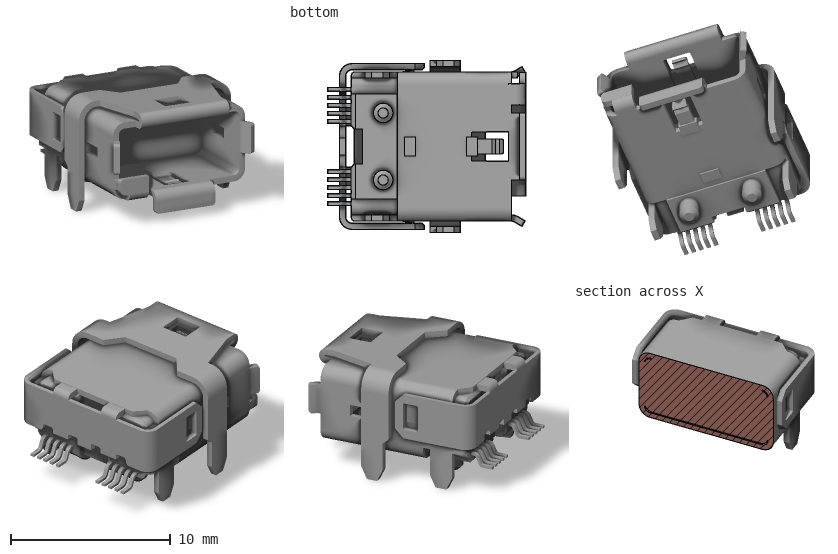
import cadquery as cq
import math


SHEET = 0.4
BEND_INNER = 0.1
BEND_OUTER = BEND_INNER + SHEET
PART_LENGTH = 12.4
BEND_X = PART_LENGTH - BEND_OUTER

SHELL_HALF_W = 4.68
SHELL_BOTTOM = 0.1
SHELL_TOP = 5.1
SHELL_R = 0.8
SHELL_REAR = 1.65
SHELL_FRONT = 11.51
SHELL_MID_Z = (SHELL_BOTTOM + SHELL_TOP) / 2
INNER_HALF_W = SHELL_HALF_W - SHEET
CORNER_CUT_X = 2.33
CORNER_CUT_Y = (3.1, 3.78)
UPPER_BEND_Z = SHELL_TOP - SHELL_R
LOWER_CUT_X = 4.36
LOWER_CUT_Z = 1.04
WING_REAR = 1.47
WING_R = 0.25

SIDE_WINDOW_X = (7.9, 9.44)
SIDE_WINDOW_Z = (2.22, 2.99)
LATCH_X = (4.68, 5.41)
LATCH_Z = (2.66, 3.94)
LATCH_RISE = 0.14

SPRING_HALF_W = 0.475
SPRING_ROOT_X = 9.0
SPRING_T = 0.28
SPRING_TIP_R = 0.15
SPRING_BEND_X = 10.29
SPRING_DIP_X = 10.52
SPRING_DIP = 0.12
SPRING_CREST_X = 10.74
SPRING_CREST_RISE = 0.1
SPRING_TIP_X = 11.01
SPRING_TIP_DROP = 0.15
WINDOW_HALF_W = 0.91
WINDOW_FRONT = 11.38
COVER_WINDOW_REAR = 9.87
WINDOW_R = 0.1

LEG_BOTTOM = -1.5
LEG_TAPER_Z = -0.7
LEG_TIP_INSET = 0.4
LEG_X = (2.33, 3.87)

COVER_TOP = 5.7
COVER_HALF_W = 5.4
COVER_R = 1.2
TONGUE_HALF_W = 3.1
ARM_X = (6.4, 8.31)
ARM_LEG_REAR = 6.81
ARM_STEP_Z = (1.13, 1.49)
COVER_NOTCH_X = 7.52
COVER_NOTCH_Y = (2.03, 2.91)
COVER_TAPER_Y = 3.9
COVER_TAPER_X = 11.26

CLIP_HALF_W = 5.2
CLIP_REAR = 0.73
CLIP_FRONT = 6.05
CLIP_Z = (1.68, 4.66)
CLIP_R = 0.8
CLIP_END_CHAMFER = 0.58
CLIP_EDGE_CHAMFER = 0.14
CLIP_WINDOW_X = (4.45, 5.50)
CLIP_WINDOW_Z = (2.26, 4.07)
TAB_Y = (1.29, 2.5)
TAB_TOP = 5.07
TAB_LOWER_Z = 1.77
NOTCH_TOP = 2.17
NOTCH_R = 0.17
NOTCH_FLARE = (0.13, 0.2)
NOTCHES_Y = ((0.53, TAB_Y[0]), (TAB_Y[1], 3.29))

HOUSING_Z = (0.54, SHELL_TOP - SHEET)
HOUSING_R = 0.5
HOUSING_FRONT = 6.5
HOUSING_CHAMFER = 0.18
BASE_HALF_W = 3.29
BASE_FRONT = 4.34
BASE_CHAMFER = (0.28, 0.33)
RECESS_HALF_W = (1.1, 1.29)
RECESS_DEPTH = 0.7
PEG_X = 3.47
PEG_Y = 2.1
PEG_R = 0.61
PEG_BOTTOM = -1.18
PEG_CHAMFER = 0.29
PADS_X = ((4.81, 5.50), (8.70, 9.39))
PAD_HALF_W = 0.6

PINS_PER_SIDE = 5
PIN_PITCH = 0.5
PIN_FIRST_Y = 1.575
PIN_W = 0.25
PIN_T = 0.18
PIN_TOP = 0.9
PIN_FOOT = 0.6
PIN_BEND_R = 0.3
PIN_SLOPE = math.radians(65)

FLARE_X = 11.69
FLARE_ANGLE = math.radians(30)
FLARE_LENGTH = 0.55
FLARE_Z = (2.0, 3.98)
FLARE_R = 0.18
TAB_BEND_INNER = 0.2
TAB_BEND_OUTER = TAB_BEND_INNER + SHEET
UPRIGHT_X = PART_LENGTH - SHEET
DOWN_TAB_HALF_W = 2.1
DOWN_TAB_BOTTOM = -0.93
UP_TAB_Y = (-4.64, -2.6)
UP_TAB_ROOT_Y = -3.94
UP_TAB_TOP = 1.65
UP_TAB_LOWER_R = 0.42
BENT_TAB_CORNER = 0.22
NUB_FRONT = 11.88
NUB_Z = (0.9, 1.49)

NEAR = 0.01
FAR = 20.0


def box(xs, ys, zs):
    """Box between pairs of limits."""
    size = [b - a for a, b in (xs, ys, zs)]
    return cq.Workplane("XY").box(*size, centered=False).translate((xs[0], ys[0], zs[0]))


def prism_y(points, ys):
    """Polygon of (x, z) points extruded between two Y limits."""
    flat = cq.Workplane("XZ", origin=(0, ys[0], 0)).polyline(points).close()
    return flat.extrude(ys[0] - ys[1])


def prism_z(points, zs):
    """Polygon of (x, y) points extruded between two Z limits."""
    flat = cq.Workplane("XY", origin=(0, 0, zs[0])).polyline(points).close()
    return flat.extrude(zs[1] - zs[0])


def both_sides(solid):
    """The solid together with its mirror image across Y = 0."""
    return solid.union(solid.mirror("XZ"))


def rounded_bar(xs, half_width, zs, radius):
    """Bar along X with its four long edges rounded."""
    return box(xs, (-half_width, half_width), zs).edges("|X").fillet(radius)


def leg_points(rear, front, top):
    """Side outline of a solder leg with a tapered tip."""
    return [
        (rear, top),
        (front, top),
        (front, LEG_TAPER_Z),
        (front - LEG_TIP_INSET, LEG_BOTTOM),
        (rear + LEG_TIP_INSET, LEG_BOTTOM),
        (rear, LEG_TAPER_Z),
    ]


def make_shell():
    bar = rounded_bar((SHELL_REAR, SHELL_FRONT), SHELL_HALF_W, (SHELL_BOTTOM, SHELL_TOP), SHELL_R)
    cavity = rounded_bar(
        (0, PART_LENGTH), INNER_HALF_W, (SHELL_BOTTOM + SHEET, SHELL_TOP - SHEET), SHELL_R - SHEET
    )
    shell = bar.cut(cavity)

    shell = shell.cut(box((0, CORNER_CUT_X), (-FAR, FAR), (-FAR, UPPER_BEND_Z)))
    shell = shell.cut(box((0, LOWER_CUT_X), (-FAR, FAR), (-FAR, LOWER_CUT_Z)))
    corner = prism_z(
        [
            (SHELL_REAR, CORNER_CUT_Y[0]),
            (CORNER_CUT_X, CORNER_CUT_Y[1]),
            (CORNER_CUT_X, FAR),
            (SHELL_REAR, FAR),
        ],
        (UPPER_BEND_Z, FAR),
    )
    shell = shell.cut(both_sides(corner))
    shell = shell.cut(box(SIDE_WINDOW_X, (-FAR, FAR), SIDE_WINDOW_Z))

    wall = (INNER_HALF_W, SHELL_HALF_W)
    wing = box((WING_REAR, CORNER_CUT_X), wall, (LOWER_CUT_Z, UPPER_BEND_Z))
    wing = wing.edges("|Z and <X and >Y").fillet(WING_R)
    leg = prism_y(leg_points(LEG_X[0], LEG_X[1], LOWER_CUT_Z), wall)
    latch = prism_z(
        [
            (LATCH_X[0], SHELL_HALF_W),
            (LATCH_X[1], SHELL_HALF_W + LATCH_RISE),
            (LATCH_X[1], INNER_HALF_W),
            (LATCH_X[0], INNER_HALF_W),
        ],
        LATCH_Z,
    )
    return shell.union(both_sides(wing.union(leg).union(latch)))


def make_spring():
    """Roof spring: dips, rises to a contact crest just above the roof, then turns down."""
    crest = [
        (SPRING_ROOT_X - SHEET, SHELL_TOP),
        (SPRING_BEND_X, SHELL_TOP),
        (SPRING_DIP_X, SHELL_TOP - SPRING_DIP),
        (SPRING_CREST_X, SHELL_TOP + SPRING_CREST_RISE),
        (SPRING_TIP_X, SHELL_TOP - SPRING_TIP_DROP),
    ]
    underside = [(x, z - SPRING_T) for x, z in reversed(crest)]
    spring = prism_y(crest + underside, (-SPRING_HALF_W, SPRING_HALF_W))
    return spring.edges("|Z and >X").fillet(SPRING_TIP_R)


def add_springs(shell):
    window = box((SPRING_ROOT_X, WINDOW_FRONT), (-WINDOW_HALF_W, WINDOW_HALF_W), (-FAR, FAR))
    shell = shell.cut(window.edges("|Z").fillet(WINDOW_R))
    roof_spring = make_spring()
    floor_spring = roof_spring.mirror("XY", (0, 0, SHELL_MID_Z))
    return shell.union(roof_spring).union(floor_spring)


def make_cover():
    plate_z = (COVER_TOP - SHEET, COVER_TOP)
    side_y = COVER_HALF_W - COVER_R
    half_outline = [
        (COVER_NOTCH_X, COVER_NOTCH_Y[0]),
        (ARM_X[0], COVER_NOTCH_Y[1]),
        (ARM_X[0], side_y),
        (ARM_X[1], side_y),
        (ARM_X[1], COVER_TAPER_Y),
        (COVER_TAPER_X, TONGUE_HALF_W),
        (BEND_X, TONGUE_HALF_W),
    ]
    mirrored = [(x, -y) for x, y in reversed(half_outline)]
    plate = prism_z(half_outline + mirrored, plate_z)
    window = box(
        (COVER_WINDOW_REAR, WINDOW_FRONT), (-WINDOW_HALF_W, WINDOW_HALF_W), plate_z
    )
    plate = plate.cut(window.edges("|Z").fillet(WINDOW_R))

    fold_z = COVER_TOP - BEND_OUTER
    fold = (
        cq.Workplane("XZ", origin=(BEND_X, 0, fold_z))
        .circle(BEND_OUTER)
        .circle(BEND_INNER)
        .extrude(TONGUE_HALF_W, both=True)
        .intersect(box((BEND_X, PART_LENGTH), (-FAR, FAR), (0, FAR)))
    )
    tongue = box(
        (SHELL_FRONT - SHEET, BEND_X), (-TONGUE_HALF_W, TONGUE_HALF_W), (SHELL_TOP - SHEET, SHELL_TOP)
    )
    tongue = tongue.cut(box((0, WINDOW_FRONT), (-WINDOW_HALF_W, WINDOW_HALF_W), (0, FAR)))

    hoop = rounded_bar(ARM_X, COVER_HALF_W, (-FAR, COVER_TOP), COVER_R)
    hoop = hoop.cut(
        rounded_bar(ARM_X, COVER_HALF_W - SHEET, (-FAR, COVER_TOP - SHEET), COVER_R - SHEET)
    )
    hoop = hoop.cut(box(ARM_X, (-side_y, side_y), (-FAR, FAR)))
    upper_arm = prism_y(
        [
            (ARM_X[0], COVER_TOP),
            (ARM_X[1], COVER_TOP),
            (ARM_X[1], ARM_STEP_Z[0]),
            (ARM_LEG_REAR, ARM_STEP_Z[0]),
            (ARM_X[0], ARM_STEP_Z[1]),
        ],
        (-FAR, FAR),
    )
    lower_arm = prism_y(leg_points(ARM_LEG_REAR, ARM_X[1], ARM_STEP_Z[0]), (-FAR, FAR))
    arms = hoop.intersect(upper_arm.union(lower_arm))
    return plate.union(fold).union(tongue).union(arms)


def make_clip():
    outer_x = (CLIP_REAR, CLIP_FRONT)
    inner_half = CLIP_HALF_W - SHEET
    inner_rear = CLIP_REAR + SHEET
    clip = box(outer_x, (-CLIP_HALF_W, CLIP_HALF_W), CLIP_Z).edges("|Z and <X").fillet(CLIP_R)
    inside = box((inner_rear, FAR), (-inner_half, inner_half), CLIP_Z)
    clip = clip.cut(inside.edges("|Z and <X").fillet(CLIP_R - SHEET))

    chamfer_x = CLIP_FRONT - CLIP_END_CHAMFER
    end_outline = prism_y(
        [
            (CLIP_REAR, CLIP_Z[0]),
            (chamfer_x, CLIP_Z[0]),
            (CLIP_FRONT, CLIP_Z[0] + CLIP_END_CHAMFER),
            (CLIP_FRONT, CLIP_Z[1] - CLIP_END_CHAMFER),
            (chamfer_x, CLIP_Z[1]),
            (CLIP_REAR, CLIP_Z[1]),
        ],
        (-FAR, FAR),
    )
    clip = clip.intersect(end_outline)

    lowest = CLIP_Z[0] + CLIP_END_CHAMFER
    pick_x = CLIP_REAR + CLIP_R + SHEET
    left, right = [
        cq.selectors.BoxSelector((pick_x, side - NEAR, lowest), (FAR, side + NEAR, FAR))
        for side in (-inner_half, inner_half)
    ]
    clip = clip.edges(left + right).chamfer(CLIP_EDGE_CHAMFER)

    window = box(CLIP_WINDOW_X, (-FAR, FAR), CLIP_WINDOW_Z).edges("|Y").fillet(WINDOW_R)
    clip = clip.cut(window)

    wall_x = (CLIP_REAR, inner_rear)
    for notch_y in NOTCHES_Y:
        notch = box(wall_x, notch_y, (0, NOTCH_TOP)).edges("|X and >Z").fillet(NOTCH_R)
        clip = clip.cut(both_sides(notch))
    outer_y = NOTCHES_Y[1][1]
    flare_y, flare_z = NOTCH_FLARE
    lead_in = (
        cq.Workplane("YZ", origin=(CLIP_REAR, 0, 0))
        .polyline(
            [(outer_y, CLIP_Z[0]), (outer_y + flare_y, CLIP_Z[0]), (outer_y, CLIP_Z[0] + flare_z)]
        )
        .close()
        .extrude(SHEET)
    )
    clip = clip.cut(both_sides(lead_in))
    clip = clip.cut(both_sides(box(wall_x, TAB_Y, (CLIP_Z[0], TAB_LOWER_Z))))

    roof_tab = box((CLIP_REAR, SHELL_REAR), TAB_Y, (CLIP_Z[1], TAB_TOP))
    roof_tab = roof_tab.edges("|Y and <X and >Z").fillet(SHEET)
    return clip.union(both_sides(roof_tab))


def make_housing():
    body = rounded_bar((WING_REAR, HOUSING_FRONT), INNER_HALF_W, HOUSING_Z, HOUSING_R)
    chamfered = body.faces("<X").edges(">Z").chamfer(HOUSING_CHAMFER)
    lower_body = body.intersect(box((0, FAR), (-FAR, FAR), (0, HOUSING_Z[1] - HOUSING_R)))
    body = lower_body.union(chamfered)

    run, rise = BASE_CHAMFER
    base = prism_y(
        [
            (WING_REAR, rise),
            (WING_REAR + run, 0),
            (BASE_FRONT, 0),
            (BASE_FRONT, HOUSING_Z[0]),
            (WING_REAR, HOUSING_Z[0]),
        ],
        (-BASE_HALF_W, BASE_HALF_W),
    )
    recess = prism_z(
        [
            (WING_REAR, -RECESS_HALF_W[1]),
            (WING_REAR, RECESS_HALF_W[1]),
            (SHELL_REAR, RECESS_HALF_W[0]),
            (WING_REAR + RECESS_DEPTH, RECESS_HALF_W[0]),
            (WING_REAR + RECESS_DEPTH, -RECESS_HALF_W[0]),
            (SHELL_REAR, -RECESS_HALF_W[0]),
        ],
        (0, FAR),
    )
    peg = (
        cq.Workplane("XY", origin=(PEG_X, PEG_Y, PEG_BOTTOM))
        .circle(PEG_R)
        .extrude(HOUSING_Z[0] - PEG_BOTTOM)
        .faces("<Z")
        .chamfer(PEG_CHAMFER)
    )
    return body.union(base).cut(recess).union(both_sides(peg))


def make_pins():
    """Gull-wing contact tails, swept along an S-shaped path."""
    low = PIN_T / 2
    high = PIN_TOP - low
    sine = math.sin(PIN_SLOPE)
    arc_run = PIN_BEND_R * sine
    arc_rise = PIN_BEND_R * (1 - math.cos(PIN_SLOPE))
    ramp_rise = high - low - 2 * arc_rise
    ramp_run = ramp_rise / math.tan(PIN_SLOPE)
    ramp_start = (PIN_FOOT + arc_run, low + arc_rise)
    ramp_end = (ramp_start[0] + ramp_run, high - arc_rise)
    s_end = ramp_end[0] + arc_run
    path = (
        cq.Workplane("XZ")
        .moveTo(0, low)
        .lineTo(PIN_FOOT, low)
        .tangentArcPoint(ramp_start, relative=False)
        .lineTo(*ramp_end)
        .tangentArcPoint((s_end, high), relative=False)
        .lineTo(SHELL_REAR, high)
    )
    pin = cq.Workplane("YZ", origin=(0, 0, low)).rect(PIN_W, PIN_T).sweep(path)
    row = pin.translate((0, PIN_FIRST_Y, 0))
    for index in range(1, PINS_PER_SIDE):
        row = row.union(pin.translate((0, PIN_FIRST_Y + index * PIN_PITCH, 0)))
    return both_sides(row)


def bent_tab(ys, height):
    """Floor strip turned upright through a quarter bend; height is measured from its outer face."""
    bend_x = UPRIGHT_X - TAB_BEND_INNER
    floor_x = SHELL_FRONT - SHEET / 2
    outline = (
        cq.Workplane("XZ", origin=(0, ys[0], 0))
        .moveTo(floor_x, 0)
        .lineTo(bend_x, 0)
        .radiusArc((PART_LENGTH, TAB_BEND_OUTER), -TAB_BEND_OUTER)
        .lineTo(PART_LENGTH, height)
        .lineTo(UPRIGHT_X, height)
        .lineTo(UPRIGHT_X, TAB_BEND_OUTER)
        .radiusArc((bend_x, SHEET), TAB_BEND_INNER)
        .lineTo(floor_x, SHEET)
        .close()
    )
    return outline.extrude(ys[0] - ys[1])


def make_mating_end():
    floor_top = SHELL_BOTTOM + SHEET
    down_tab = bent_tab((-DOWN_TAB_HALF_W, DOWN_TAB_HALF_W), floor_top - DOWN_TAB_BOTTOM)
    down_tab = down_tab.mirror("XY").translate((0, 0, floor_top))
    down_tab = down_tab.edges("|X and <Z").fillet(BENT_TAB_CORNER)

    up_tab = bent_tab((UP_TAB_ROOT_Y, UP_TAB_Y[1]), UP_TAB_TOP - SHELL_BOTTOM)
    up_tab = up_tab.translate((0, 0, SHELL_BOTTOM))
    ear = box((UPRIGHT_X, PART_LENGTH), UP_TAB_Y, (SHELL_BOTTOM + BEND_OUTER, UP_TAB_TOP))
    ear = ear.edges("|X and >Z and <Y").fillet(BENT_TAB_CORNER)
    ear = ear.edges("|X and <Z and <Y").fillet(UP_TAB_LOWER_R)
    up_tab = up_tab.union(ear)
    nub = box((SHELL_FRONT, NUB_FRONT), (-SHELL_HALF_W, -INNER_HALF_W), NUB_Z)

    sine = math.sin(FLARE_ANGLE)
    cosine = math.cos(FLARE_ANGLE)
    outer_r = (FLARE_X - SHELL_FRONT) / sine
    inner_r = outer_r + SHEET
    bend_y = SHELL_HALF_W + outer_r
    outer_knee = (FLARE_X, bend_y - outer_r * cosine)
    inner_knee = (SHELL_FRONT + inner_r * sine, bend_y - inner_r * cosine)
    outer_tip = (outer_knee[0] + FLARE_LENGTH * cosine, outer_knee[1] + FLARE_LENGTH * sine)
    inner_tip = (inner_knee[0] + FLARE_LENGTH * cosine, inner_knee[1] + FLARE_LENGTH * sine)
    flare = (
        cq.Workplane("XY", origin=(0, 0, FLARE_Z[0]))
        .moveTo(SHELL_FRONT, INNER_HALF_W)
        .radiusArc(inner_knee, -inner_r)
        .lineTo(*inner_tip)
        .lineTo(*outer_tip)
        .lineTo(*outer_knee)
        .radiusArc((SHELL_FRONT, SHELL_HALF_W), outer_r)
        .close()
        .extrude(FLARE_Z[1] - FLARE_Z[0])
    )
    tip_edges = cq.selectors.ParallelDirSelector(cq.Vector(-sine, cosine, 0))
    flare = flare.edges(tip_edges).fillet(FLARE_R)
    return down_tab.union(up_tab).union(nub).union(both_sides(flare))


def make_pads():
    """Shallow pads under the shell floor that rest on the board."""
    pads = [box(xs, (-PAD_HALF_W, PAD_HALF_W), (0, SHELL_BOTTOM + SHEET)) for xs in PADS_X]
    return pads[0].union(pads[1])


result = (
    add_springs(make_shell())
    .union(make_cover())
    .union(make_housing())
    .union(make_clip())
    .union(make_pins())
    .union(make_mating_end())
    .union(make_pads())
)